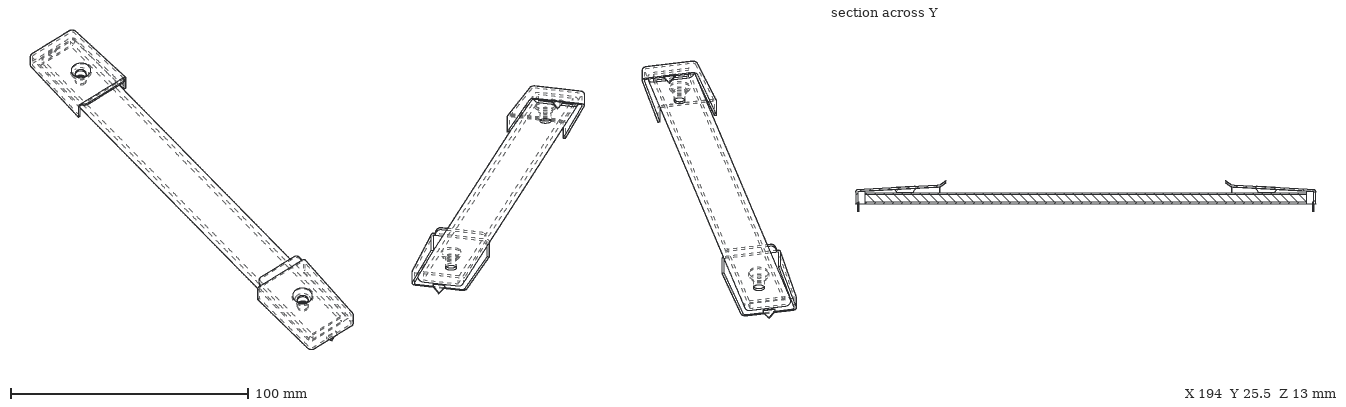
import cadquery as cq
overall_length = 194.0
outer_end_x = -overall_length / 2

cap_length = 35.5
cap_width_open = 25.5
cap_width_closed = 23.9
cap_height_open = 8.1
cap_height_closed = 6.2
wall = 1.0
corner_radius = 2.1
roof_edge_radius = 1.2
open_end_x = outer_end_x + cap_length
roof_slope = (cap_height_open - cap_height_closed) / cap_length
side_slope = (cap_width_open - cap_width_closed) / 2 / cap_length

lip_width = 22.0
lip_reach = 2.5
lip_tip_height = 9.9
lip_corner_radius = 2.0
lip_overlap = wall

tooth_width = 5.0
tooth_depth = 3.1
tooth_inset = 0.8
tooth_thickness = 0.5

strap_width = 20.0
strap_thickness = 4.8
strap_end_gap = 3.9
strap_skin = 1.0
strap_length = overall_length - 2 * strap_end_gap
core_width = strap_width - strap_thickness
core_thickness = strap_thickness - 2 * strap_skin

screw_inset = 20.8
screw_hole_diameter = 4.7
seat_diameter = 8.1
screw_x = outer_end_x + screw_inset


def roof_height(x):
    """Height of the sloping outer roof at a given X."""
    return cap_height_closed + roof_slope * (x - outer_end_x)


def half_width(x):
    """Half of the outer cap width at a given X."""
    return cap_width_closed / 2 + side_slope * (x - outer_end_x)


def cap_block(inset):
    """Wedge-shaped solid of the cap, moved inwards by inset at its closed end, sides and roof."""
    end_x = outer_end_x + inset
    end_half = half_width(end_x) - inset
    open_half = half_width(open_end_x) - inset
    plan = [(end_x, -end_half), (open_end_x, -open_half), (open_end_x, open_half), (end_x, end_half)]
    side = [
        (end_x, 0),
        (open_end_x, 0),
        (open_end_x, roof_height(open_end_x) - inset),
        (end_x, roof_height(end_x) - inset),
    ]
    block = cq.Workplane("XY").polyline(plan).close().extrude(cap_height_open)
    block = block.edges("|Z and <X").fillet(corner_radius - inset)
    wedge = cq.Workplane("XZ").polyline(side).close().extrude(cap_width_open / 2, both=True)
    return block.intersect(wedge)


def cap_shell():
    """Hollow cap, open below and at its inner end, with rounded roof edges."""
    outside = cap_block(0).faces(">Z").edges("not(>X)").fillet(roof_edge_radius)
    return outside.cut(cap_block(wall))


def cap_lip():
    """Sheet lip bent upwards from the roof, with rounded tip corners."""
    tip_x = open_end_x + lip_reach
    root_x = open_end_x - lip_overlap
    top_edge = [
        (root_x, roof_height(root_x)),
        (open_end_x, cap_height_open),
        (tip_x, lip_tip_height),
    ]
    bottom_edge = [(x, z - wall) for x, z in reversed(top_edge)]
    sheet = cq.Workplane("XZ").polyline(top_edge + bottom_edge).close().extrude(lip_width / 2, both=True)
    plan_centre = ((root_x + tip_x) / 2, 0, 0)
    plan = cq.Workplane("XY", origin=plan_centre).rect(tip_x - root_x, lip_width).extrude(lip_tip_height)
    return sheet.intersect(plan.edges("|Z and >X").fillet(lip_corner_radius))


def cap_tooth():
    """Pointed tooth hanging from the closed end wall, rooted inside that wall."""
    outline = [
        (-tooth_width / 2, wall),
        (-tooth_width / 2, 0),
        (0, -tooth_depth),
        (tooth_width / 2, 0),
        (tooth_width / 2, wall),
    ]
    plane = cq.Workplane("YZ", origin=(outer_end_x + tooth_inset, 0, 0))
    return plane.polyline(outline).close().extrude(tooth_thickness)


def seat_cone(growth, top_z):
    """Cone of the screw seat from the strap up to top_z, with its radius enlarged by growth."""
    seat_depth = roof_height(screw_x) - strap_thickness
    flare = (seat_diameter - screw_hole_diameter) / 2 / seat_depth
    bottom_radius = screw_hole_diameter / 2 + growth
    top_radius = bottom_radius + flare * (top_z - strap_thickness)
    half_section = [(0, strap_thickness), (bottom_radius, strap_thickness), (top_radius, top_z), (0, top_z)]
    plane = cq.Workplane("XZ", origin=(screw_x, 0, 0))
    return plane.polyline(half_section).close().revolve(360, (0, 0, 0), (0, 1, 0))


def make_cap(end):
    """One complete end cap: end is -1 for the -X end and 1 for the +X end."""
    cap = cap_shell().union(cap_lip()).union(cap_tooth())
    cap = cap.union(seat_cone(wall, roof_height(screw_x) - wall / 2))
    cap = cap.cut(seat_cone(0, roof_height(screw_x) + wall))
    return cap if end < 0 else cap.mirror("YZ")


def screw_holes():
    """Cutters for the two screw holes through the strap and its core."""
    centres = [(screw_x, 0), (-screw_x, 0)]
    return cq.Workplane("XY").pushPoints(centres).circle(screw_hole_diameter / 2).extrude(strap_thickness)


def strap_plane():
    """Cross-section plane at the middle of the strap, centred in its thickness."""
    return cq.Workplane("YZ", origin=(0, 0, strap_thickness / 2))


def core_bar():
    """Plain bar that fills the hollow of the strap."""
    return strap_plane().rect(core_width, core_thickness).extrude(strap_length / 2, both=True)


def make_core():
    """Stiffening core with its screw holes."""
    return core_bar().cut(screw_holes())


def make_strap():
    """Sleeve with half-round sides around the core, with its screw holes."""
    sleeve = strap_plane().slot2D(strap_width, strap_thickness).extrude(strap_length / 2, both=True)
    return sleeve.cut(core_bar()).cut(screw_holes())


strap = make_strap()
core = make_core()
caps = [make_cap(end) for end in (-1, 1)]

bodies = [strap, core, *caps]
result = cq.Compound.makeCompound([body.solids().val() for body in bodies])